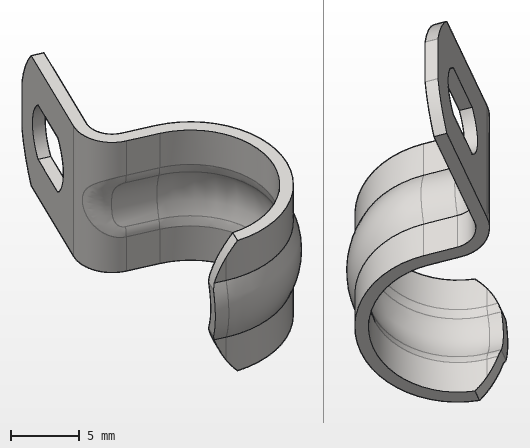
import cadquery as cq
import math

width = 12.0
thickness = 1.0
overall_length = 28.5
flange_bottom = -5.6
free_end = -1.05

loop_inner_radius = 6.5
loop_outer_radius = loop_inner_radius + thickness
bend_inner_radius = 2.0
bend_outer_radius = bend_inner_radius + thickness

bead_height = 0.6
bead_outer_radius = 6.0
bead_inner_radius = bead_outer_radius - thickness
bead_edge_radius = 2.0
bead_crest = loop_outer_radius + bead_height
bead_center = bead_crest - bead_outer_radius

hole_diameter = 6.5
hole_height = 5.0
hole_edge_distance = 5.5

end_arc_radius = 9.25
end_flat_half_width = 2.13

flange_top = flange_bottom + thickness
flange_end = bead_crest - overall_length
cut_overrun = 1.0
pick_margin = 0.05


def strap_blank():
    """Flange, upright leg, half loop and short free leg, still without bend radii."""
    return (
        cq.Workplane("XY")
        .workplane(offset=-width / 2)
        .moveTo(flange_end, flange_bottom)
        .lineTo(-loop_inner_radius, flange_bottom)
        .lineTo(-loop_inner_radius, 0)
        .threePointArc((0, loop_inner_radius), (loop_inner_radius, 0))
        .lineTo(loop_inner_radius, free_end)
        .lineTo(loop_outer_radius, free_end)
        .lineTo(loop_outer_radius, 0)
        .threePointArc((0, loop_outer_radius), (-loop_outer_radius, 0))
        .lineTo(-loop_outer_radius, flange_top)
        .lineTo(flange_end, flange_top)
        .close()
        .extrude(width)
    )


def bead_half_chord(radius, chord_x):
    """Half width of the bead arc where it crosses the given X."""
    return math.sqrt(radius**2 - (chord_x - bead_center) ** 2)


def bead_section(radius, chord_x):
    """Circular segment in the XZ plane, cut off by a chord at the given X."""
    half_chord = bead_half_chord(radius, chord_x)
    return (
        cq.Workplane("XZ")
        .moveTo(chord_x, -half_chord)
        .threePointArc((bead_center + radius, 0), (chord_x, half_chord))
        .close()
    )


def bead_sweep(radius, chord_x, leg_end_y, free_end_y):
    """Segment revolved over the half loop and run straight down both legs."""
    over_loop = bead_section(radius, chord_x).revolve(180, (0, 0, 0), (0, 1, 0))
    free_leg = bead_section(radius, chord_x).extrude(-free_end_y)
    leg = bead_section(radius, chord_x).extrude(-leg_end_y).mirror("YZ")
    return over_loop.union(free_leg).union(leg)


def edges_near(low, high):
    """Selector for edges centred between two corner points, with a small margin."""
    return cq.selectors.BoxSelector(
        [value - pick_margin for value in low],
        [value + pick_margin for value in high],
    )


def add_outer_bead(body):
    """Raise the bead on the outer face, ending on the flange."""
    chord_x = loop_outer_radius - thickness / 2
    leg_end_y = flange_top - thickness / 2
    return body.union(bead_sweep(bead_outer_radius, chord_x, leg_end_y, free_end))


def round_bend(body):
    """Round both sides of the flange bend; the inner radius follows the bead's foot."""
    inner_corner = edges_near(
        (-bead_crest, flange_top, -width / 2),
        (-loop_outer_radius, flange_top, width / 2),
    )
    outer_corner = edges_near(
        (-loop_inner_radius, flange_bottom, 0),
        (-loop_inner_radius, flange_bottom, 0),
    )
    body = body.edges(inner_corner).fillet(bend_inner_radius)
    return body.edges(outer_corner).fillet(bend_outer_radius)


def cut_inner_groove(body):
    """Hollow the bead from the inside, out through the bend, and round the groove's rim."""
    chord_x = loop_inner_radius - thickness / 2
    groove = bead_sweep(
        bead_inner_radius, chord_x, flange_bottom - cut_overrun, free_end - cut_overrun
    )
    body = body.cut(groove)
    rim_z = bead_half_chord(bead_inner_radius, loop_inner_radius)
    rim_point = (loop_inner_radius, free_end / 2, rim_z)
    return body.edges(edges_near(rim_point, rim_point)).fillet(bead_edge_radius)


def end_corners():
    """Waste beside a rounded strap end, for an end facing -X at the origin."""
    arc_center = math.sqrt(end_arc_radius**2 - end_flat_half_width**2)
    length = arc_center - math.sqrt(end_arc_radius**2 - (width / 2) ** 2)
    depth = 2 * (thickness + cut_overrun)
    blank = cq.Workplane("XY").box(length, depth, width).translate((length / 2, 0, 0))
    disc = cq.Workplane("XZ").center(arc_center, 0).circle(end_arc_radius).extrude(depth / 2, both=True)
    return blank.cut(disc)


def round_ends(body):
    """Trim the corners off the flange end and the free end of the loop."""
    flange_corners = end_corners().translate((flange_end, flange_bottom, 0))
    free_corners = end_corners().rotate((0, 0, 0), (0, 0, 1), 90)
    free_corners = free_corners.translate((loop_outer_radius, free_end, 0))
    return body.cut(flange_corners).cut(free_corners)


def cut_mounting_hole(body):
    """Round hole with flat top and bottom, through the flange."""
    hole_x = flange_end + hole_edge_distance
    drill = cq.Workplane("XZ").circle(hole_diameter / 2).extrude(thickness + cut_overrun, both=True)
    flats = cq.Workplane("XY").box(hole_diameter, 2 * (thickness + cut_overrun), hole_height)
    return body.cut(drill.intersect(flats).translate((hole_x, flange_bottom, 0)))


part = add_outer_bead(strap_blank())
part = round_bend(part)
part = cut_inner_groove(part)
part = round_ends(part)
result = cut_mounting_hole(part)